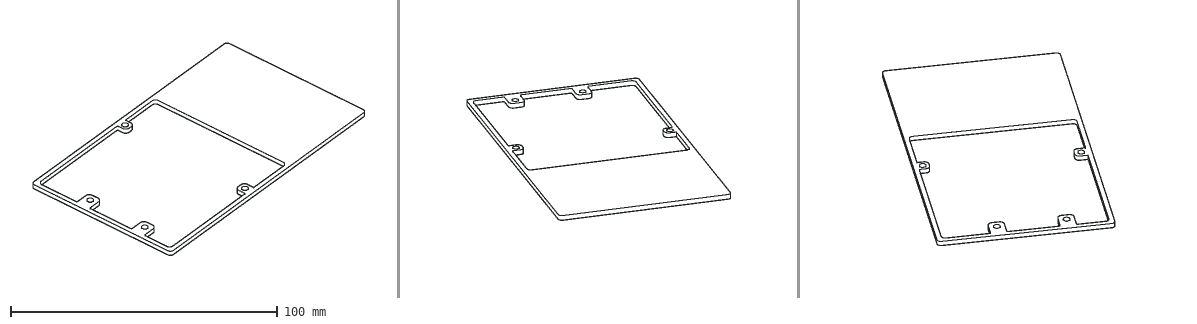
import cadquery as cq

width = 68.0
length = 115.3
thickness = 2.0
wall = 2.0
opening_top = 70.6
outer_radius = 1.5
opening_radius = 1.5

hole_diameter = 2.5
tab_radius = 1.7
root_radius = 0.5
left_hole_inset = 3.7
right_hole_inset = 4.2
left_tab_reach = 6.2
left_tab_width = 4.7
left_tab_y = 50.9
right_tab_reach = 6.8
right_tab_width = 5.1
right_tab_y = 48.8
bottom_tab_reach = 8.9
bottom_tab_width = 6.2
bottom_hole_y = 6.0
bottom_tab_xs = (23.8, 50.4)


def block(x_min, x_max, y_min, y_max):
    """Full-thickness rectangular block between the given limits."""
    return cq.Workplane("XY").box(
        x_max - x_min, y_max - y_min, thickness, centered=False
    ).translate((x_min, y_min, 0))


def side_tab(x_min, x_max, y_center, tab_width, free_edges):
    """Tab on a side wall, rounded at its free end."""
    half_width = tab_width / 2
    tab = block(x_min, x_max, y_center - half_width, y_center + half_width)
    return tab.edges(free_edges).edges("|Z").fillet(tab_radius)


def bottom_tab(x_center):
    """Upright tab on the bottom wall, rounded at its free end."""
    half_width = bottom_tab_width / 2
    tab = block(x_center - half_width, x_center + half_width, 0, bottom_tab_reach)
    return tab.edges("|Z and >Y").fillet(tab_radius)


plate = block(0, width, 0, length).edges("|Z").fillet(outer_radius)
opening = block(wall, width - wall, wall, opening_top).edges("|Z").fillet(opening_radius)
frame = plate.cut(opening)

frame = frame.union(side_tab(0, left_tab_reach, left_tab_y, left_tab_width, ">X"))
frame = frame.union(
    side_tab(width - right_tab_reach, width, right_tab_y, right_tab_width, "<X")
)
for tab_x in bottom_tab_xs:
    frame = frame.union(bottom_tab(tab_x))

root_points = [(wall, left_tab_y - left_tab_width / 2)]
for tab_x in bottom_tab_xs:
    for side in (-1, 1):
        root_points.append((tab_x + side * bottom_tab_width / 2, wall))
for root_x, root_y in root_points:
    root_edge = cq.selectors.NearestToPointSelector((root_x, root_y, thickness / 2))
    frame = frame.edges("|Z").edges(root_edge).fillet(root_radius)

hole_points = [
    (left_hole_inset, left_tab_y),
    (width - right_hole_inset, right_tab_y),
]
hole_points += [(tab_x, bottom_hole_y) for tab_x in bottom_tab_xs]
holes = (
    cq.Workplane("XY").pushPoints(hole_points).circle(hole_diameter / 2).extrude(thickness)
)

result = frame.cut(holes)